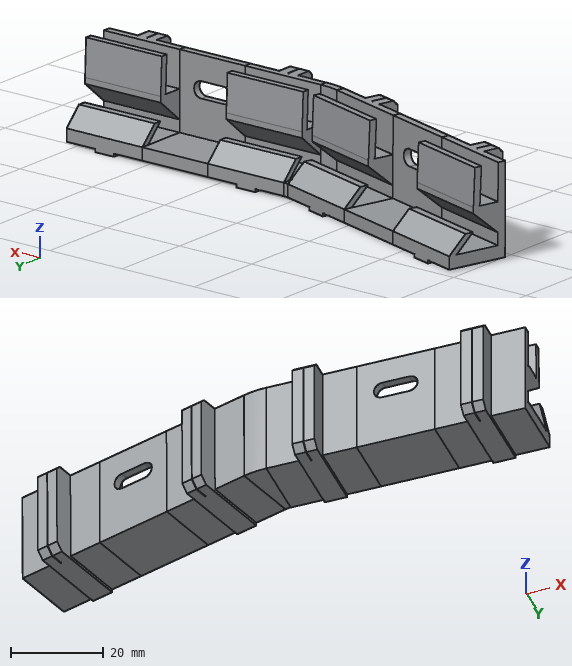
import cadquery as cq


depth = 14.9
height = 22.0
wall = 2.0
floor = 3.1

clip_length = 21.0
plate_length = 18.1
wing_length = 2 * clip_length + plate_length

bend_angle = 16.0
bend_back_radius = 4.7
bend_axis_y = depth + bend_back_radius
wing_droop = 0.25

lip_rise = 4.3
lip_width = 2.0

jaw_thickness = 1.7
jaw_top_back = 8.1
jaw_lean = 0.4
jaw_slot_floor = 13.0
jaw_edge = 11.6
jaw_root = 6.0

rib_width = 5.2
rib_reach = 4.9
foot_thickness = 0.7
rib_top_chamfer = 1.1
rib_bottom_chamfer = 1.7
slit_width = 0.1

slot_length = 10.1
slot_height = 4.0
slot_centre_z = 14.0


def l_profile():
    """Section of wall and floor in the YZ plane."""
    return cq.Workplane("YZ").polyline(
        [(0, 0), (depth, 0), (depth, floor), (wall, floor), (wall, height), (0, height)]
    ).close()


def clip_section():
    """Wall, floor, slanted lip and slotted jaw, extruded over the length of a clip."""
    lip_top = floor + lip_rise
    lip_tip = depth - lip_rise
    jaw_base_back = jaw_top_back + jaw_lean
    outline = [
        (0, 0),
        (depth, 0),
        (depth, floor),
        (lip_tip, lip_top),
        (lip_tip - lip_width, lip_top),
        (depth - lip_width, floor),
        (wall, floor),
        (wall, jaw_root),
        (jaw_base_back, jaw_edge),
        (jaw_base_back, jaw_slot_floor),
        (jaw_top_back, height),
        (jaw_top_back - jaw_thickness, height),
        (jaw_base_back - jaw_thickness, jaw_slot_floor),
        (wall, jaw_slot_floor),
        (wall, height),
        (0, height),
    ]
    return cq.Workplane("YZ").polyline(outline).close().extrude(clip_length)


def rib():
    """Rib and foot at the middle of a clip, chamfered at the rib's front edges."""
    outline = [
        (depth, -foot_thickness),
        (rib_bottom_chamfer - rib_reach, -foot_thickness),
        (-rib_reach, rib_bottom_chamfer - foot_thickness),
        (-rib_reach, height - rib_top_chamfer),
        (rib_top_chamfer - rib_reach, height),
        (0, height),
        (0, 0),
        (depth, 0),
    ]
    start = (clip_length - rib_width) / 2
    return cq.Workplane("YZ").workplane(offset=start).polyline(outline).close().extrude(rib_width)


def rib_slit():
    """Thin slit that halves the rib from its front face to the wall."""
    slit_height = height + foot_thickness
    return cq.Workplane("XY").box(
        slit_width, rib_reach, slit_height, centered=(True, False, False)
    ).translate((clip_length / 2, -rib_reach, -foot_thickness))


def make_clip():
    return clip_section().union(rib()).cut(rib_slit())


def make_slotted_plate():
    slot = (
        cq.Workplane("XZ")
        .center(plate_length / 2, slot_centre_z)
        .slot2D(slot_length, slot_height)
        .extrude(-wall)
    )
    return l_profile().extrude(plate_length).cut(slot)


def make_bend():
    """Sector of the common section that fills the angle between the wings."""
    return l_profile().revolve(bend_angle, (bend_axis_y, 1.2), (bend_axis_y, 0))


def make_wing():
    """The three bodies of a wing that starts at X = 0."""
    clips = [make_clip().translate((x, 0, 0)) for x in (0, clip_length + plate_length)]
    plate = make_slotted_plate().translate((clip_length, 0, 0))
    return [*clips, plate]


def place_left(body):
    """Let a wing body droop towards its free end, then swing it about the bend's axis."""
    return (
        body.translate((-wing_length, 0, 0))
        .rotate((0, 0, 0), (0, 1, 0), -wing_droop)
        .rotate((0, bend_axis_y, 0), (0, bend_axis_y, 1), -bend_angle)
    )


right_wing = make_wing()
left_wing = [place_left(body) for body in make_wing()]
bend = make_bend()

result = cq.Compound.makeCompound([body.val() for body in [*right_wing, bend, *left_wing]])